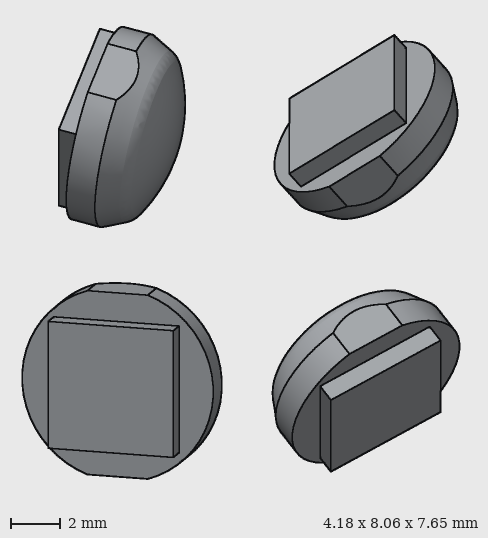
import cadquery as cq

length = 4.18
body_diameter = 8.06
height_across_flats = 7.65

pad_side = 5.27
pad_thickness = 0.8
pad_offset = 0.05

rim_width = 1.22
shoulder_width = 1.13
dome_edge_radius = 3.48
edge_fillet = 0.87

rim_end = pad_thickness + rim_width
dome_start = rim_end + shoulder_width
dome_height = length - dome_start
dome_radius = (dome_edge_radius**2 + dome_height**2) / (2 * dome_height)
dome_center = length - dome_radius


def make_pad():
    """Square pad standing off the back of the body."""
    return cq.Workplane("YZ").center(pad_offset, 0).rect(pad_side, pad_side).extrude(pad_thickness)


def make_domed_body():
    """Round body revolved about X, blended between the cone and the dome."""
    dome_mid_radius = dome_edge_radius / 2
    dome_mid = dome_center + (dome_radius**2 - dome_mid_radius**2) ** 0.5
    body = (
        cq.Workplane("XY")
        .moveTo(pad_thickness, 0)
        .lineTo(pad_thickness, body_diameter / 2)
        .lineTo(rim_end, body_diameter / 2)
        .lineTo(dome_start, dome_edge_radius)
        .threePointArc((dome_mid, dome_mid_radius), (length, 0))
        .close()
        .revolve(360, (0, 0, 0), (1, 0, 0))
    )
    dome_rim = cq.selectors.NearestToPointSelector((dome_start, 0, 0))
    return body.edges(dome_rim).fillet(edge_fillet)


def cut_flats(body):
    """Trim the top and bottom of the body to parallel flats."""
    envelope = cq.Workplane("XY").box(2 * length, body_diameter, height_across_flats)
    return body.intersect(envelope)


result = make_pad().union(cut_flats(make_domed_body()))